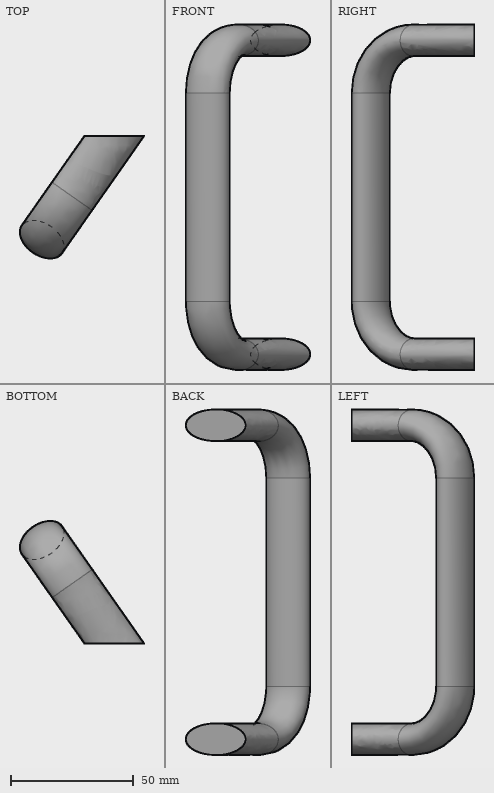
import cadquery as cq
import math

SECTION_WIDTH = 20.0
SECTION_THICKNESS = 13.0
LEG_SPACING = 128.0
LEG_LENGTH = 51.57
BEND_RADIUS = 21.5
LEAN_ANGLE = 55.0

half_spacing = LEG_SPACING / 2
half_bend_angle = math.radians(90 / 2)
bend_offset = BEND_RADIUS * (1 - math.cos(half_bend_angle))
trim_allowance = SECTION_WIDTH / math.tan(math.radians(LEAN_ANGLE))

leg_direction = (math.cos(math.radians(LEAN_ANGLE)), math.sin(math.radians(LEAN_ANGLE)), 0)
across_direction = (leg_direction[1], -leg_direction[0], 0)
handle_plane = cq.Plane(origin=(0, 0, 0), xDir=leg_direction, normal=across_direction)


def centreline():
    """U-shaped path: lower leg, bend, grip, bend, upper leg."""
    grip_x = -LEG_LENGTH
    bend_x = grip_x + BEND_RADIUS
    bend_z = half_spacing - BEND_RADIUS
    arc_x = grip_x + bend_offset
    arc_z = half_spacing - bend_offset
    return (
        cq.Workplane(handle_plane)
        .moveTo(trim_allowance, -half_spacing)
        .lineTo(bend_x, -half_spacing)
        .threePointArc((arc_x, -arc_z), (grip_x, -bend_z))
        .lineTo(grip_x, bend_z)
        .threePointArc((arc_x, arc_z), (bend_x, half_spacing))
        .lineTo(trim_allowance, half_spacing)
    )


def handle_bar():
    """Oval section swept along the centreline, with overlong legs."""
    start = handle_plane.toWorldCoords((trim_allowance, -half_spacing))
    section_plane = cq.Plane(origin=start, xDir=across_direction, normal=leg_direction)
    section = cq.Workplane(section_plane).ellipse(SECTION_WIDTH / 2, SECTION_THICKNESS / 2)
    return section.sweep(centreline())


def beyond_mounting_face():
    """Block behind the mounting face, large enough to hold the leg ends."""
    size = 2 * (LEG_SPACING + SECTION_THICKNESS)
    return cq.Workplane("XY").box(size, size, size, centered=(True, False, True))


result = handle_bar().cut(beyond_mounting_face())